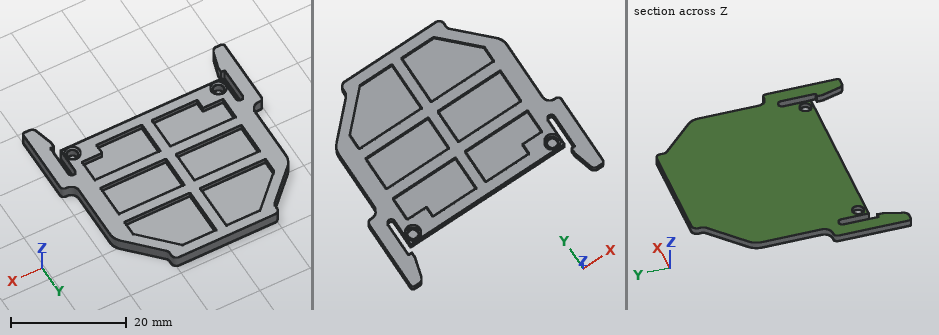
import cadquery as cq

thickness = 2.4
half_width = 20.0
length = 36.8

body_half_width = 17.5
head_half_width = 10.5
head_side_height = 2.0
head_corner_radius = 1.0
head_neck_radius = 1.0
bevel_corner_radius = 3.0
body_bottom = 6.5

shoulder_y = 14.1
shoulder_fillet_radius = 1.5
shoulder_corner_radius = 0.7
slot_outer_x = 17.3
slot_inner_x = 16.0
slot_top = 12.2
hook_tip_x = 16.6
hook_top = 5.2
hook_bottom = 4.2
tip_inner_x = 17.8
tip_outer_radius = 0.5
tip_inner_radius = 1.0

pocket_depth = 1.0
rib_width = 2.0
pocket_inner_x = rib_width / 2
pocket_outer_x = 14.0
middle_pocket_y = (17.0, 23.5)
bottom_pocket_y = (body_bottom + rib_width, middle_pocket_y[0] - rib_width)
top_pocket_y = (middle_pocket_y[1] + rib_width, length - rib_width)
pocket_bevel = 6.3
notch_x = 10.0
notch_height = 2.0
notch_y = bottom_pocket_y[0] + notch_height

hole_x = 14.5
hole_y = 8.0
hole_diameter = 2.0
hole_depth = 2.0
countersink_diameter = 2.8
countersink_depth = (countersink_diameter - hole_diameter) / 2


def round_corner(solid, x, y, radius):
    """Round the vertical edge standing at (x, y)."""
    edge_middle = (x, y, thickness / 2)
    corner = cq.selectors.NearestToPointSelector(edge_middle)
    return solid.edges("|Z").edges(corner).fillet(radius)


def make_half_plate():
    """Build the +X half of the plate with its arm."""
    neck_y = length - head_side_height
    bevel_y = neck_y - (body_half_width - head_half_width)
    slot_radius = (slot_outer_x - slot_inner_x) / 2
    slot_center_x = (slot_outer_x + slot_inner_x) / 2
    half = (
        cq.Workplane("XY")
        .moveTo(0, body_bottom)
        .lineTo(slot_inner_x, body_bottom)
        .lineTo(slot_inner_x, slot_top - slot_radius)
        .threePointArc((slot_center_x, slot_top), (slot_outer_x, slot_top - slot_radius))
        .lineTo(slot_outer_x, hook_top)
        .lineTo(hook_tip_x, hook_top)
        .lineTo(hook_tip_x, hook_bottom)
        .lineTo(tip_inner_x, 0)
        .lineTo(half_width, 0)
        .lineTo(half_width, shoulder_y)
        .lineTo(body_half_width, shoulder_y)
        .lineTo(body_half_width, bevel_y)
        .lineTo(head_half_width, neck_y)
        .lineTo(head_half_width, length)
        .lineTo(0, length)
        .close()
        .extrude(thickness)
    )
    rounded_corners = [
        (tip_inner_x, 0, tip_inner_radius),
        (half_width, 0, tip_outer_radius),
        (half_width, shoulder_y, shoulder_corner_radius),
        (body_half_width, shoulder_y, shoulder_fillet_radius),
        (body_half_width, bevel_y, bevel_corner_radius),
        (head_half_width, neck_y, head_neck_radius),
        (head_half_width, length, head_corner_radius),
    ]
    for x, y, radius in rounded_corners:
        half = round_corner(half, x, y, radius)
    return half


def make_pocket(points):
    """Build the volume removed by one pocket with the given outline."""
    floor = cq.Workplane("XY").workplane(offset=thickness - pocket_depth)
    return floor.polyline(points).close().extrude(pocket_depth)


def make_pockets():
    """Build the three pockets of the +X half."""
    bottom, top = top_pocket_y
    beveled = make_pocket([
        (pocket_inner_x, bottom),
        (pocket_outer_x, bottom),
        (pocket_outer_x, top - pocket_bevel),
        (pocket_outer_x - pocket_bevel, top),
        (pocket_inner_x, top),
    ])
    bottom, top = middle_pocket_y
    rectangular = make_pocket([
        (pocket_inner_x, bottom),
        (pocket_outer_x, bottom),
        (pocket_outer_x, top),
        (pocket_inner_x, top),
    ])
    bottom, top = bottom_pocket_y
    notched = make_pocket([
        (pocket_inner_x, bottom),
        (notch_x, bottom),
        (notch_x, notch_y),
        (pocket_outer_x, notch_y),
        (pocket_outer_x, top),
        (pocket_inner_x, top),
    ])
    return [beveled, rectangular, notched]


def make_hole():
    """Build the countersunk blind hole as a revolved profile."""
    hole_radius = hole_diameter / 2
    profile = [
        (0, thickness - hole_depth),
        (hole_radius, thickness - hole_depth),
        (hole_radius, thickness - countersink_depth),
        (countersink_diameter / 2, thickness),
        (0, thickness),
    ]
    hole = cq.Workplane("XZ").polyline(profile).close().revolve(360, (0, 0, 0), (0, 1, 0))
    return hole.translate((hole_x, hole_y, 0))


half_plate = make_half_plate()
for cutter in make_pockets() + [make_hole()]:
    half_plate = half_plate.cut(cutter)

result = half_plate.union(half_plate.mirror("YZ")).clean()